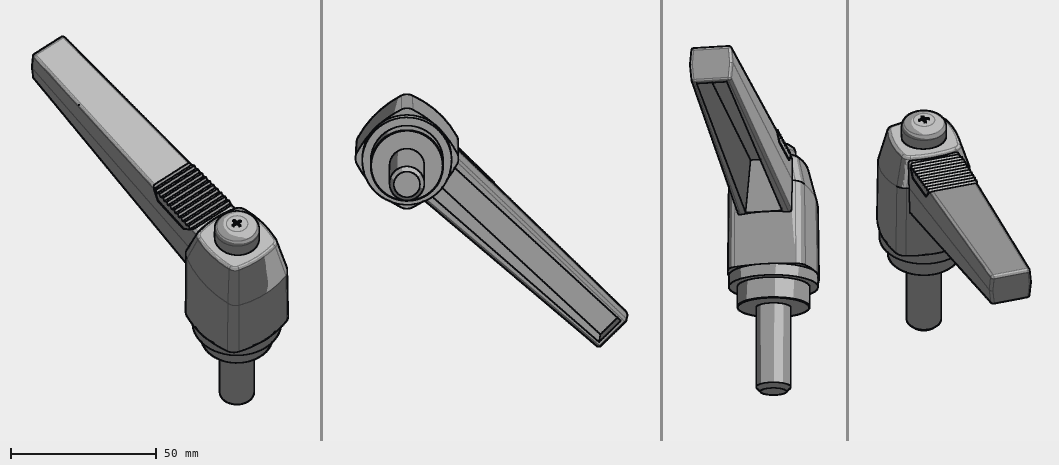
import cadquery as cq
import math


STUD_DIAMETER = 12.0
STUD_LENGTH = 30.0
STUD_TIP_DIAMETER = 9.0
STUD_CHAMFER_HEIGHT = 1.6
COLLAR_DIAMETER = 25.0
COLLAR_HEIGHT = 7.35
COLLAR_CHAMFER = 0.25

FLANGE_DIAMETER = 30.73
FLANGE_HEIGHT = 4.05

SIDE_BULGE_RADIUS = 35.5
SIDE_SHARE = 0.71
BODY_HALF_WIDTH = 15.25
SHOULDER_HALF_WIDTH = 14.95
SHOULDER_SHIFT_X = -0.2
SHOULDER_CENTRE_Z = 38.0
SHOULDER_SLOPE = 0.2138
TOP_HALF_WIDTH = 11.4
TOP_CENTRE_Z = 50.75
TOP_SLOPE = 0.07
TOP_EDGE_FILLET = 1.2

BUTTON_DIAMETER = 15.4
BUTTON_RIM_Z = 55.1
DOME_EDGE_DIAMETER = 13.85
DOME_EDGE_Z = 56.8
SCREW_HEAD_DIAMETER = 7.35
SCREW_HEAD_Z = 58.1
BUTTON_TOP_Z = 58.45
RECESS_SPAN = 3.5
RECESS_WIDTH = 0.7
RECESS_DEPTH = 1.2

OVERALL_LENGTH = 115.72
STUD_BOTTOM_Z = -STUD_LENGTH
OVERALL_HEIGHT = 95.31
TIP_ROUNDING_DROP = 0.19
ARM_TOP_Z = STUD_BOTTOM_Z + OVERALL_HEIGHT + TIP_ROUNDING_DROP
ARM_TIP_X = FLANGE_DIAMETER / 2 - OVERALL_LENGTH
ARM_ROOT_X = -9.0
ARM_TIP_BOTTOM_Z = 53.15
ARM_TOP_SLOPE = 0.171
ARM_BOTTOM_SLOPE = 0.2723
ARM_FILLET = 1.0
TIP_TOP_HALF = 7.0
TIP_MIDDLE_HALF = 7.55
TIP_BOTTOM_HALF = 6.9
ROOT_TOP_HALF = 9.0
ROOT_MIDDLE_HALF = 9.85
ROOT_BOTTOM_HALF = 9.6

TIP_WALL = 1.6
ROOF_THICKNESS = 2.3
CAVITY_ROOF_HALF = 4.65
CAVITY_TIP_MOUTH_HALF = 5.3
CAVITY_ROOT_MOUTH_HALF = 6.4
CAVITY_END_X = -15.5

PAD_OUTSET = 0.25
PAD_START_X = -34.2
PAD_FLOOR_START_X = -31.3
PAD_FLOOR_END_X = -17.2
PAD_END_X = -14.0
PAD_DEPTH = 3.9
PAD_END_DEPTH = 1.0
TOOTH_PITCH = 1.99
TOOTH_COUNT = 10
TOOTH_DEPTH = 0.9
TOOTH_STEEP_RUN = 0.7
FIRST_PEAK_X = -32.7


def arm_top(x):
    return ARM_TOP_Z - ARM_TOP_SLOPE * (x - ARM_TIP_X)


def arm_middle(x):
    return SHOULDER_CENTRE_Z - SHOULDER_SLOPE * x


def arm_bottom(x):
    return ARM_TIP_BOTTOM_Z - ARM_BOTTOM_SLOPE * (x - ARM_TIP_X)


def hub_outline(half_x, half_y, centre_z, slope=0.0, shift_x=0.0):
    """Closed wire on a plane that falls towards +X by the given slope."""
    flat_x = SIDE_SHARE * half_x
    flat_y = SIDE_SHARE * half_y
    end_x = half_x - (SIDE_BULGE_RADIUS - math.sqrt(SIDE_BULGE_RADIUS**2 - flat_y**2))
    end_y = half_y - (SIDE_BULGE_RADIUS - math.sqrt(SIDE_BULGE_RADIUS**2 - flat_x**2))
    turn = math.pi / 2 - 2 * math.asin((flat_x + flat_y) / 2 / SIDE_BULGE_RADIUS)
    corner_bulge = math.tan(turn / 4) / 2
    mid_x = (end_x + flat_x) / 2 + corner_bulge * (end_y - flat_y)
    mid_y = (end_y + flat_y) / 2 + corner_bulge * (end_x - flat_x)

    stretch = math.hypot(1.0, slope)
    plane = cq.Plane(
        origin=(shift_x, 0, centre_z - slope * shift_x),
        xDir=(1, 0, -slope),
        normal=(slope, 0, 1),
    )

    def at(x, y):
        return (x * stretch, y)

    return (
        cq.Workplane(plane)
        .moveTo(*at(end_x, -flat_y))
        .threePointArc(at(half_x, 0), at(end_x, flat_y))
        .threePointArc(at(mid_x, mid_y), at(flat_x, end_y))
        .threePointArc(at(0, half_y), at(-flat_x, end_y))
        .threePointArc(at(-mid_x, mid_y), at(-end_x, flat_y))
        .threePointArc(at(-half_x, 0), at(-end_x, -flat_y))
        .threePointArc(at(-mid_x, -mid_y), at(-flat_x, -end_y))
        .threePointArc(at(0, -half_y), at(flat_x, -end_y))
        .threePointArc(at(mid_x, -mid_y), at(end_x, -flat_y))
        .close()
        .val()
    )


def ruled_solid(*wires):
    return cq.Workplane(cq.Solid.makeLoft(list(wires), True))


def make_hub():
    body_z = COLLAR_HEIGHT + FLANGE_HEIGHT
    flange = (
        cq.Workplane("XY", origin=(0, 0, COLLAR_HEIGHT))
        .circle(FLANGE_DIAMETER / 2)
        .extrude(FLANGE_HEIGHT)
    )
    base = hub_outline(BODY_HALF_WIDTH, BODY_HALF_WIDTH, body_z)
    shoulder = hub_outline(
        BODY_HALF_WIDTH,
        SHOULDER_HALF_WIDTH,
        SHOULDER_CENTRE_Z,
        SHOULDER_SLOPE,
        SHOULDER_SHIFT_X,
    )
    top = hub_outline(TOP_HALF_WIDTH, TOP_HALF_WIDTH, TOP_CENTRE_Z, TOP_SLOPE)
    crown = ruled_solid(shoulder, top).faces(">Z").edges().fillet(TOP_EDGE_FILLET)
    return flange.union(ruled_solid(base, shoulder)).union(crown)


def make_stud_and_collar():
    collar = (
        cq.Workplane("XY")
        .circle(COLLAR_DIAMETER / 2)
        .extrude(COLLAR_HEIGHT)
        .faces("<Z")
        .chamfer(COLLAR_CHAMFER)
    )
    stud = (
        cq.Workplane("XZ")
        .moveTo(0, STUD_BOTTOM_Z)
        .lineTo(STUD_TIP_DIAMETER / 2, STUD_BOTTOM_Z)
        .lineTo(STUD_DIAMETER / 2, STUD_BOTTOM_Z + STUD_CHAMFER_HEIGHT)
        .lineTo(STUD_DIAMETER / 2, COLLAR_HEIGHT)
        .lineTo(0, COLLAR_HEIGHT)
        .close()
        .revolve(360, (0, 0, 0), (0, 1, 0))
    )
    return collar.union(stud)


def make_button():
    rim_r = BUTTON_DIAMETER / 2
    button = (
        cq.Workplane("XZ")
        .moveTo(0, SHOULDER_CENTRE_Z)
        .lineTo(rim_r, SHOULDER_CENTRE_Z)
        .lineTo(rim_r, BUTTON_RIM_Z)
        .tangentArcPoint((DOME_EDGE_DIAMETER / 2, DOME_EDGE_Z), relative=False)
        .tangentArcPoint((SCREW_HEAD_DIAMETER / 2, SCREW_HEAD_Z), relative=False)
        .lineTo(0, BUTTON_TOP_Z)
        .close()
        .revolve(360, (0, 0, 0), (0, 1, 0))
    )
    cross = (
        cq.Workplane("XY", origin=(0, 0, BUTTON_TOP_Z - RECESS_DEPTH))
        .rect(RECESS_SPAN, RECESS_WIDTH)
        .extrude(2 * RECESS_DEPTH)
    )
    cross = cross.union(cross.rotate((0, 0, 0), (0, 0, 1), 90))
    return button.cut(cross)


def arm_section(x, top_half, middle_half, bottom_half):
    """Six-sided cross-section, widest at the parting plane."""
    return cq.Wire.makePolygon(
        [
            cq.Vector(x, top_half, arm_top(x)),
            cq.Vector(x, middle_half, arm_middle(x)),
            cq.Vector(x, bottom_half, arm_bottom(x)),
            cq.Vector(x, -bottom_half, arm_bottom(x)),
            cq.Vector(x, -middle_half, arm_middle(x)),
            cq.Vector(x, -top_half, arm_top(x)),
        ],
        close=True,
    )


def arm_body(outset=0.0):
    tip = arm_section(
        ARM_TIP_X,
        TIP_TOP_HALF + outset,
        TIP_MIDDLE_HALF + outset,
        TIP_BOTTOM_HALF + outset,
    )
    root = arm_section(
        ARM_ROOT_X,
        ROOT_TOP_HALF + outset,
        ROOT_MIDDLE_HALF + outset,
        ROOT_BOTTOM_HALF + outset,
    )
    return ruled_solid(tip, root)


def cavity_section(x, mouth_half):
    roof = arm_top(x) - ROOF_THICKNESS
    return cq.Wire.makePolygon(
        [
            cq.Vector(x, CAVITY_ROOF_HALF, roof),
            cq.Vector(x, mouth_half, arm_bottom(x)),
            cq.Vector(x, -mouth_half, arm_bottom(x)),
            cq.Vector(x, -CAVITY_ROOF_HALF, roof),
        ],
        close=True,
    )


def make_pad():
    """Sharp-edged block on the arm, standing slightly proud of its sides."""
    outline = [
        (PAD_START_X, arm_top(PAD_START_X)),
        (PAD_FLOOR_START_X, arm_top(PAD_FLOOR_START_X) - PAD_DEPTH),
        (PAD_FLOOR_END_X, arm_top(PAD_FLOOR_END_X) - PAD_DEPTH),
        (PAD_END_X, arm_top(PAD_END_X) - PAD_END_DEPTH),
        (PAD_END_X, arm_top(PAD_END_X)),
    ]
    prism = cq.Workplane("XZ").polyline(outline).close().extrude(FLANGE_DIAMETER / 2, both=True)
    return arm_body(PAD_OUTSET).intersect(prism)


def make_tooth_gaps():
    """Triangular grooves that leave the sawtooth ridges between them."""
    gaps = cq.Workplane("XZ")
    for index in range(TOOTH_COUNT + 1):
        left = FIRST_PEAK_X + (index - 1) * TOOTH_PITCH
        valley = left + TOOTH_STEEP_RUN
        right = left + TOOTH_PITCH
        gaps = gaps.polyline(
            [
                (left, arm_top(left)),
                (valley, arm_top(valley) - TOOTH_DEPTH),
                (right, arm_top(right)),
                (right, arm_top(right) + TOOTH_DEPTH),
                (left, arm_top(left) + TOOTH_DEPTH),
            ]
        ).close()
    return gaps.extrude(FLANGE_DIAMETER / 2, both=True)


def make_arm():
    arm = arm_body()
    long_edges = (
        arm.faces()
        .filter(lambda face: abs(face.normalAt().z) > abs(face.normalAt().y))
        .edges()
        .filter(lambda edge: edge.Length() > OVERALL_LENGTH / 2)
    )
    arm = arm.faces("<X").edges().add(long_edges).fillet(ARM_FILLET)
    cavity = ruled_solid(
        cavity_section(ARM_TIP_X + TIP_WALL, CAVITY_TIP_MOUTH_HALF),
        cavity_section(CAVITY_END_X, CAVITY_ROOT_MOUTH_HALF),
    )
    return arm.union(make_pad()).cut(cavity).cut(make_tooth_gaps())


result = make_stud_and_collar().union(make_hub()).union(make_arm()).union(make_button())